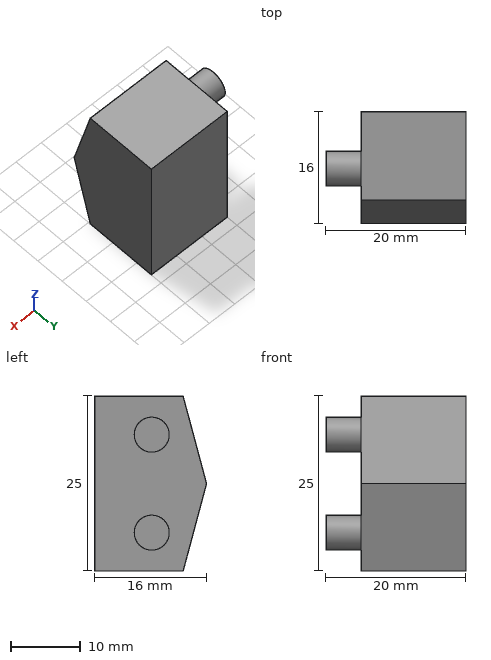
import cadquery as cq

block_length = 15.0
height = 25.0
depth = 16.0
ridge_depth = 3.35

peg_diameter = 5.0
peg_length = 5.0
peg_spacing = 14.0
peg_from_back = 8.15

half_height = height / 2
back_y = depth / 2
ridge_y = -depth / 2
shoulder_y = ridge_y + ridge_depth


def make_block():
    """Block with a flat back and a ridge along X at mid-height of its front."""
    profile = [
        (back_y, -half_height),
        (back_y, half_height),
        (shoulder_y, half_height),
        (ridge_y, 0),
        (shoulder_y, -half_height),
    ]
    return cq.Workplane("YZ").polyline(profile).close().extrude(block_length)


def make_pegs():
    """Pegs standing out from the end face at x = 0 toward -X."""
    peg_y = back_y - peg_from_back
    centers = [(peg_y, side * peg_spacing / 2) for side in (-1, 1)]
    return cq.Workplane("YZ").pushPoints(centers).circle(peg_diameter / 2).extrude(-peg_length)


result = make_block().union(make_pegs())